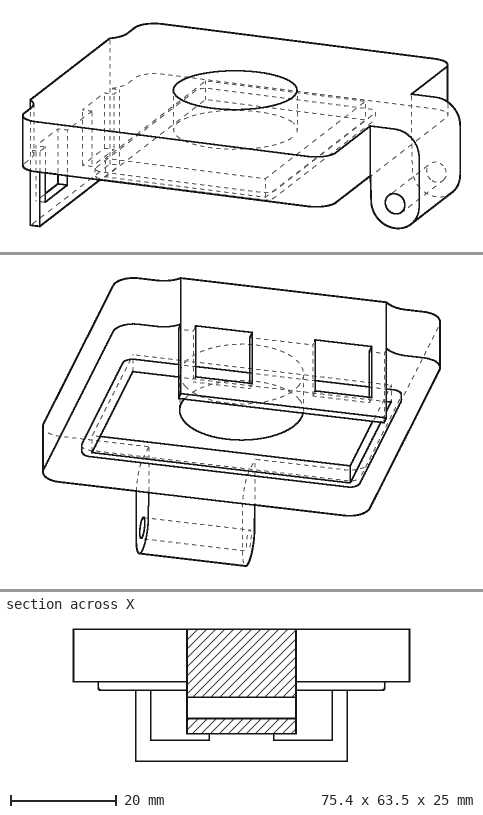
import cadquery as cq

total_length = 75.4
total_width = 63.5
total_height = 25.0

plate_thickness = 9.95
plate_end = 65.5
corner_radius = 4.0
bore_diameter = 23.4

tab_thickness = 1.95
tab_width = 40.0
flare_length = 4.15
window_size = 11.0
window_spacing = 23.2

rim_length = 36.5
rim_width = 54.15
rim_depth = 1.6
rim_corner_radius = 1.95
rim_edge_radius = 0.45
rim_wall = 1.95
recess_floor_depth = 7.85

lug_width = 20.7
lug_radius = 4.9
lug_top_radius = 5.0
pin_diameter = 4.0
pin_depth = 14.85

plate_start = tab_thickness
plate_length = plate_end - plate_start
plate_center = (plate_start + plate_end) / 2
flare_radius = (tab_thickness**2 + flare_length**2) / (2 * tab_thickness)


def make_plate():
    """Rounded rectangular plate."""
    return (
        cq.Workplane("XY")
        .center(plate_center, 0)
        .rect(plate_length, total_width)
        .extrude(-plate_thickness)
        .edges("|Z")
        .fillet(corner_radius)
    )


def make_tab_root():
    """Raised strip on the plate edge, flared into it by concave arcs."""
    tab_side = tab_width / 2
    flare_end = tab_side + flare_length
    return (
        cq.Workplane("XY")
        .moveTo(0, -tab_side)
        .lineTo(0, tab_side)
        .radiusArc((plate_start, flare_end), -flare_radius)
        .lineTo(plate_center, flare_end)
        .lineTo(plate_center, -flare_end)
        .lineTo(plate_start, -flare_end)
        .radiusArc((0, -tab_side), -flare_radius)
        .close()
        .extrude(-plate_thickness)
    )


def make_tab():
    """Hanging tab with two square windows starting at the plate underside."""
    tab = cq.Workplane("XY").box(
        tab_thickness, tab_width, total_height, centered=(False, True, False)
    ).translate((0, 0, -total_height))
    for side in (-1, 1):
        window = cq.Workplane("XY").box(
            tab_thickness, window_size, window_size, centered=(False, True, False)
        ).translate((0, side * window_spacing / 2, -plate_thickness - window_size))
        tab = tab.cut(window)
    return tab


def make_rim():
    """Solid block of the rim, with rounded corners and a rounded lower outer edge."""
    return (
        cq.Workplane("XY", origin=(plate_center, 0, -plate_thickness))
        .rect(rim_length, rim_width)
        .extrude(-rim_depth)
        .edges("|Z")
        .fillet(rim_corner_radius)
        .faces("<Z")
        .edges()
        .fillet(rim_edge_radius)
    )


def make_lug():
    """Hinge lug with a rounded top corner, a round lower end and a pin hole."""
    pin_x = total_length - lug_radius
    lug = (
        cq.Workplane("XZ")
        .moveTo(plate_end, 0)
        .lineTo(total_length - lug_top_radius, 0)
        .radiusArc((total_length, -lug_top_radius), lug_top_radius)
        .lineTo(total_length, -pin_depth)
        .threePointArc((pin_x, -pin_depth - lug_radius), (pin_x - lug_radius, -pin_depth))
        .lineTo(plate_end, -plate_thickness)
        .close()
        .extrude(lug_width / 2, both=True)
    )
    pin_hole = (
        cq.Workplane("XZ")
        .center(pin_x, -pin_depth)
        .circle(pin_diameter / 2)
        .extrude(lug_width / 2, both=True)
    )
    return lug.cut(pin_hole)


def make_recess():
    """Rectangular recess inside the rim, reaching up into the plate."""
    return (
        cq.Workplane("XY", origin=(plate_center, 0, -recess_floor_depth))
        .rect(rim_length - 2 * rim_wall, rim_width - 2 * rim_wall)
        .extrude(recess_floor_depth - plate_thickness - rim_depth)
    )


def make_bore():
    """Round bore from the top face into the recess."""
    return cq.Workplane("XY").center(plate_center, 0).circle(bore_diameter / 2).extrude(-recess_floor_depth)


body = make_plate().union(make_tab_root()).union(make_tab()).union(make_rim()).union(make_lug())
result = body.cut(make_recess()).cut(make_bore()).clean()